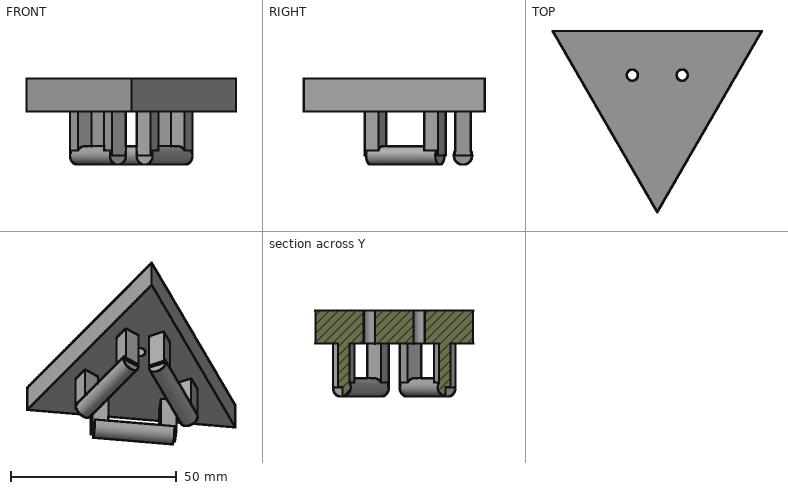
import cadquery as cq
import math

PLATE_SIDE = 63.14
PLATE_THICKNESS = 10.0
PLATE_INRADIUS = PLATE_SIDE / (2 * math.sqrt(3))
PLATE_CIRCUMRADIUS = 2 * PLATE_INRADIUS

HOLE_DIAMETER = 3.3
HOLE_SPACING = 15.0
HOLE_Y = 4.9

HANDLE_COUNT = 3
HANDLE_DEPTH = 16.0
BAR_INSET = 6.62
BAR_RADIUS = 2.8
BAR_LENGTH = 24.1
POST_WIDTH = 4.8
POST_SPACING = 20.75

BAR_Y = PLATE_INRADIUS - BAR_INSET
POST_LENGTH = HANDLE_DEPTH - BAR_RADIUS


def make_plate():
    """Equilateral plate with one side facing +Y and one corner facing -Y."""
    corners = [
        (-PLATE_SIDE / 2, PLATE_INRADIUS),
        (0, -PLATE_CIRCUMRADIUS),
        (PLATE_SIDE / 2, PLATE_INRADIUS),
    ]
    plate = cq.Workplane("XY").polyline(corners).close().extrude(PLATE_THICKNESS)
    holes = (
        cq.Workplane("XY")
        .pushPoints([(-HOLE_SPACING / 2, HOLE_Y), (HOLE_SPACING / 2, HOLE_Y)])
        .circle(HOLE_DIAMETER / 2)
        .extrude(PLATE_THICKNESS)
    )
    return plate.cut(holes)


def make_handle():
    """Round bar along the +Y side, held by two square posts that end at the bar axis."""
    posts = (
        cq.Workplane("XY")
        .pushPoints([(-POST_SPACING / 2, BAR_Y), (POST_SPACING / 2, BAR_Y)])
        .rect(POST_WIDTH, POST_WIDTH)
        .extrude(-POST_LENGTH)
    )
    bar = (
        cq.Workplane("YZ", origin=(-BAR_LENGTH / 2, BAR_Y, -POST_LENGTH))
        .circle(BAR_RADIUS)
        .extrude(BAR_LENGTH)
    )
    return posts.union(bar)


result = make_plate()
handle = make_handle()
for index in range(HANDLE_COUNT):
    turn = index * 360 / HANDLE_COUNT
    result = result.union(handle.rotate((0, 0, 0), (0, 0, 1), turn))